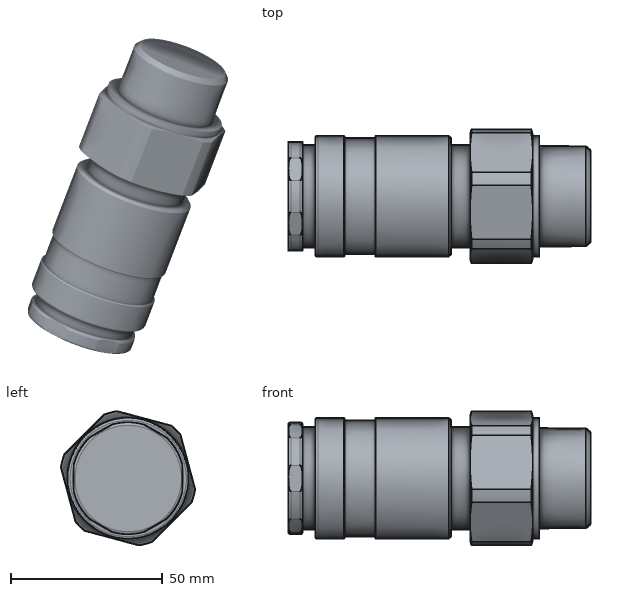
import cadquery as cq
import math

length = 100.0
head_end = 4.8
sleeve_start = 8.9
band_start = 18.7
band_end = 28.7
sleeve_end = 53.8
hex_start = 60.1
hex_end = 80.8
collar_end = 83.0

hex_half_angle = 30.0

head_diameter = 37.0
head_across_flats = 36.0
head_fillet = 0.9

shaft_diameter = 34.0

sleeve_diameter = 40.0
sleeve_front_fillet = 0.8
sleeve_rear_chamfer = 0.8
band_diameter = 38.5
band_edge_chamfer = 0.3

hex_across_flats = 41.0
hex_corner_diameter = 45.0
hex_turn = -15.0
bevel_diameter = hex_across_flats
bevel_angle = 15.0

collar_diameter = 40.0
spigot_root_diameter = 33.4
spigot_tip_diameter = 33.1
spigot_end_diameter = 30.2
spigot_chamfer_length = 1.6


def cylinder(diameter, start, end):
    """Round bar on the X axis between two places."""
    return cq.Workplane("YZ", origin=(start, 0, 0)).circle(diameter / 2).extrude(end - start)


def hex_bar(across_flats, start, end, turn):
    """Six-sided bar on the X axis; at zero turn two of its flats face -Y and +Y."""
    across_corners = across_flats / math.cos(math.radians(hex_half_angle))
    bar = cq.Workplane("YZ", origin=(start, 0, 0)).polygon(6, across_corners).extrude(end - start)
    return bar.rotate((0, 0, 0), (1, 0, 0), hex_half_angle + turn)


def revolved(points):
    """Solid turned about the X axis from (place along X, radius) points."""
    return cq.Workplane("XY").polyline(points).close().revolve(360, (0, 0, 0), (1, 0, 0))


def make_head():
    disc = cylinder(head_diameter, 0, head_end).edges().fillet(head_fillet)
    return disc.intersect(hex_bar(head_across_flats, 0, head_end, 0))


def make_wrench_hex():
    bar = hex_bar(hex_across_flats, hex_start, hex_end, hex_turn)
    bar = bar.intersect(cylinder(hex_corner_diameter, hex_start, hex_end))

    bevel_radius = bevel_diameter / 2
    middle = (hex_start + hex_end) / 2
    peak_radius = bevel_radius + (middle - hex_start) / math.tan(math.radians(bevel_angle))
    envelope = revolved([
        (hex_start, 0),
        (hex_start, bevel_radius),
        (middle, peak_radius),
        (hex_end, bevel_radius),
        (hex_end, 0),
    ])
    return bar.intersect(envelope)


def make_spigot():
    chamfer_start = length - spigot_chamfer_length
    return revolved([
        (collar_end, 0),
        (collar_end, spigot_root_diameter / 2),
        (chamfer_start, spigot_tip_diameter / 2),
        (length, spigot_end_diameter / 2),
        (length, 0),
    ])


def make_plug():
    shaft = cylinder(shaft_diameter, head_end, hex_start)
    collar = cylinder(collar_diameter, hex_end, collar_end)
    return make_head().union(shaft).union(make_wrench_hex()).union(collar).union(make_spigot())


def make_sleeve():
    outer_radius = sleeve_diameter / 2
    shoulder_radius = outer_radius - band_edge_chamfer

    sleeve = cylinder(sleeve_diameter, sleeve_start, sleeve_end)
    sleeve = sleeve.faces("<X").edges().fillet(sleeve_front_fillet)
    sleeve = sleeve.faces(">X").edges().chamfer(sleeve_rear_chamfer)

    band_core = cylinder(band_diameter, band_start, band_end)
    groove = revolved([
        (band_start, 0),
        (band_start, shoulder_radius),
        (band_start - band_edge_chamfer, outer_radius),
        (band_end + band_edge_chamfer, outer_radius),
        (band_end, shoulder_radius),
        (band_end, 0),
    ]).cut(band_core)

    bore = cylinder(shaft_diameter, sleeve_start, sleeve_end)
    return sleeve.cut(groove).cut(bore)


plug = make_plug()
sleeve = make_sleeve()

result = cq.Compound.makeCompound([plug.val(), sleeve.val()])